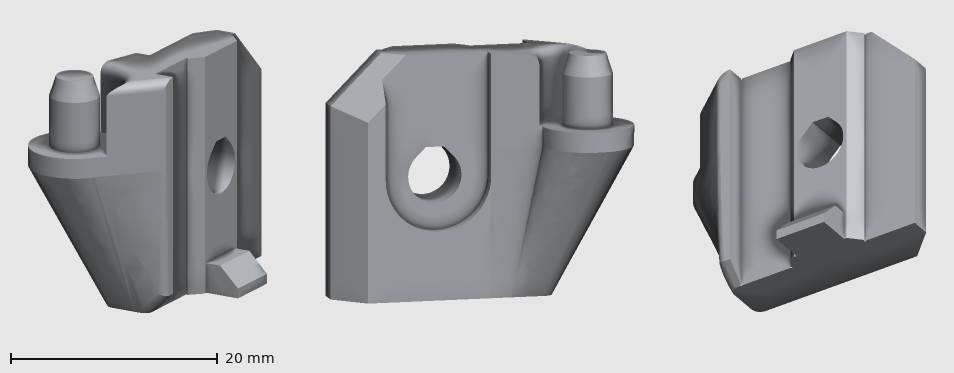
import math

import cadquery as cq


height = 24.0
plate_thickness = 5.0
plate_back_x = 6.45
plate_front_x = plate_back_x - plate_thickness
plate_end_y = 24.5
corner_cut = 5.0
end_chamfer = 3.0

hole_y = 14.5
hole_z = 12.0
hole_radius = 2.65
hole_flat_height = 2.85
pocket_radius = 5.25
pocket_depth = 1.5

rail_half_width = 4.25
rail_thickness = 1.4
rail_chamfer = 1.2
tongue_half_width = 2.75
tongue_end_x = 11.4
tongue_height = 3.0
tongue_chamfer = 2.0

pin_radius = 2.45
pin_tip_radius = 1.8
pin_tip_length = 2.0
seat_radius = 4.5
seat_top_z = 16.95
seat_thickness = 2.0
seat_bottom_z = seat_top_z - seat_thickness
recess_radius = 4.8
top_round = 1.0

arm_start_y = hole_y - pocket_radius
wing_reach = 2.0
wing_x = plate_back_x + wing_reach
wing_low_y = 3.0
wing_high_y = 4.45
wing_round = 0.9
foot_edge_y = 7.25
foot_radius = 1.0
foot_tangent_x = 4.9
seat_arc_end_x = 3.74

seat_arc_end_angle = -math.acos(seat_arc_end_x / seat_radius)
seat_arc_end_y = seat_radius * math.sin(seat_arc_end_angle)
wing_wall_length = math.hypot(wing_x - seat_arc_end_x, wing_low_y - seat_arc_end_y)
wing_wall_angle = math.atan2(wing_low_y - seat_arc_end_y, wing_x - seat_arc_end_x)

relief_radius = 0.1
half_right_angle_cos = math.sqrt(0.5)
overlap = 1.0
selection_margin = 0.25


def seat_point(angle):
    return (seat_radius * math.cos(angle), seat_radius * math.sin(angle))


def make_plate():
    plate = (
        cq.Workplane("YZ", origin=(plate_front_x, 0, 0))
        .moveTo(arm_start_y, 0)
        .lineTo(plate_end_y, 0)
        .lineTo(plate_end_y, height - corner_cut)
        .lineTo(plate_end_y - corner_cut, height)
        .lineTo(arm_start_y, height)
        .close()
        .extrude(plate_thickness)
    )
    end_y = plate_end_y - corner_cut - selection_margin
    end_edges = cq.selectors.BoxSelector(
        (plate_front_x - overlap, end_y, overlap),
        (plate_front_x + overlap, plate_end_y + overlap, height - overlap),
    )
    return plate.faces("<X").edges(end_edges).chamfer(end_chamfer)


def make_rail():
    rail_x = plate_back_x + rail_thickness
    chamfer_x = rail_x - rail_chamfer
    flat_half_width = rail_half_width - rail_chamfer
    return (
        cq.Workplane("XY")
        .moveTo(plate_back_x, hole_y - rail_half_width)
        .lineTo(chamfer_x, hole_y - rail_half_width)
        .lineTo(rail_x, hole_y - flat_half_width)
        .lineTo(rail_x, hole_y + flat_half_width)
        .lineTo(chamfer_x, hole_y + rail_half_width)
        .lineTo(plate_back_x, hole_y + rail_half_width)
        .close()
        .extrude(height)
    )


def make_tongue():
    return (
        cq.Workplane("XZ", origin=(0, hole_y, 0))
        .moveTo(plate_back_x, 0)
        .lineTo(tongue_end_x, 0)
        .lineTo(tongue_end_x, tongue_height - tongue_chamfer)
        .lineTo(tongue_end_x - tongue_chamfer, tongue_height)
        .lineTo(plate_back_x, tongue_height)
        .close()
        .extrude(tongue_half_width, both=True)
    )


def foot_split_angles():
    """Angles that split the seat arc in the same proportions as the three parts of the foot curve."""
    side = foot_edge_y - wing_low_y - foot_radius
    bend = foot_radius * math.pi / 2
    underside = foot_tangent_x - plate_front_x - foot_radius
    total = side + bend + underside
    start = math.pi / 2
    sweep = seat_arc_end_angle + 2 * math.pi - start
    return [start, start + sweep * side / total, start + sweep * (side + bend) / total, start + sweep]


def close_outline(outline):
    """Finish an arm outline around the wing and back to the plate."""
    return (
        outline
        .lineTo(wing_x, wing_low_y)
        .lineTo(wing_x, wing_high_y)
        .lineTo(plate_back_x, wing_high_y)
        .lineTo(plate_back_x, arm_start_y)
        .close()
    )


def seat_outline():
    """Arm outline at the seat, with as many edges as the foot outline so that they pair up."""
    outline = (
        cq.Workplane("XY", origin=(0, 0, seat_bottom_z))
        .moveTo(plate_back_x, arm_start_y)
        .lineTo(plate_front_x, arm_start_y)
        .lineTo(*seat_point(math.pi / 2))
    )
    angles = foot_split_angles()
    for start, end in zip(angles, angles[1:]):
        outline = outline.threePointArc(seat_point((start + end) / 2), seat_point(end))
    return close_outline(outline)


def foot_outline():
    """Arm outline at the underside, where the support has drawn in towards the plate."""
    bend_offset = foot_radius * (1 - half_right_angle_cos)
    outline = (
        cq.Workplane("XY")
        .moveTo(plate_back_x, arm_start_y)
        .lineTo(plate_front_x, arm_start_y)
        .lineTo(plate_front_x, foot_edge_y)
        .lineTo(plate_front_x, wing_low_y + foot_radius)
        .threePointArc(
            (plate_front_x + bend_offset, wing_low_y + bend_offset),
            (plate_front_x + foot_radius, wing_low_y),
        )
        .lineTo(foot_tangent_x, wing_low_y)
    )
    return close_outline(outline)


def wing_undercut():
    """45 degree wedge below the wing, starting at the back face of the plate."""
    reach = wing_reach + overlap
    return (
        cq.Workplane("XZ", origin=(0, wing_high_y + overlap, 0))
        .moveTo(plate_back_x, 0)
        .lineTo(plate_back_x + reach, reach)
        .lineTo(plate_back_x + reach, -overlap)
        .lineTo(plate_back_x, -overlap)
        .close()
        .extrude(wing_high_y - wing_low_y + 2 * overlap)
    )


def wing_top_round():
    """Tool that rounds the top edge of the slanted wing wall, straight past the wing corner."""
    wall = cq.Plane(
        origin=(seat_arc_end_x, seat_arc_end_y, height),
        xDir=(math.sin(wing_wall_angle), -math.cos(wing_wall_angle), 0),
        normal=(-math.cos(wing_wall_angle), -math.sin(wing_wall_angle), 0),
    )
    bend = top_round * (1 - half_right_angle_cos)
    return (
        cq.Workplane(wall)
        .moveTo(-top_round, 0)
        .threePointArc((-bend, -bend), (0, -top_round))
        .lineTo(overlap, -top_round)
        .lineTo(overlap, overlap)
        .lineTo(-top_round, overlap)
        .close()
        .extrude(-wing_wall_length - 2 * overlap)
    )


def pin_recess():
    """Space above the seat, flared at the top by the rounded rim."""
    bend = top_round * (1 - half_right_angle_cos)
    return (
        cq.Workplane("XZ")
        .moveTo(0, seat_top_z)
        .lineTo(recess_radius, seat_top_z)
        .lineTo(recess_radius, height - top_round)
        .threePointArc((recess_radius + bend, height - bend), (recess_radius + top_round, height))
        .lineTo(0, height)
        .close()
        .revolve(360, (0, 0, 0), (0, 1, 0))
    )


def make_arm():
    support = cq.Workplane(
        cq.Solid.makeLoft([foot_outline().val(), seat_outline().val()], True)
    )
    arm = support.union(seat_outline().extrude(height - seat_bottom_z))
    arm = arm.cut(wing_undercut())
    wing_corner = cq.selectors.BoxSelector(
        (plate_back_x - selection_margin, wing_low_y - selection_margin, selection_margin),
        (wing_x + selection_margin, wing_low_y + selection_margin, height - overlap),
    )
    arm = arm.edges(wing_corner).fillet(wing_round)
    return arm.cut(wing_top_round()).cut(pin_recess())


def make_pin():
    straight_length = height - pin_tip_length - seat_top_z
    straight = cq.Workplane("XY", origin=(0, 0, seat_top_z)).circle(pin_radius).extrude(straight_length)
    tip = cq.Solid.makeCone(
        pin_radius, pin_tip_radius, pin_tip_length, cq.Vector(0, 0, height - pin_tip_length)
    )
    return straight.union(cq.Workplane(tip))


def screw_pocket():
    """Round-bottomed pocket in the front face, open at the top."""
    return (
        cq.Workplane("YZ", origin=(plate_front_x, 0, 0))
        .moveTo(hole_y - pocket_radius, height)
        .lineTo(hole_y - pocket_radius, hole_z)
        .threePointArc((hole_y, hole_z - pocket_radius), (hole_y + pocket_radius, hole_z))
        .lineTo(hole_y + pocket_radius, height)
        .close()
        .extrude(pocket_depth)
    )


def screw_hole():
    """Teardrop hole with 45 degree flanks and a flat roof."""
    flank = hole_radius * half_right_angle_cos
    roof_half_width = 2 * flank - hole_flat_height
    return (
        cq.Workplane("YZ", origin=(plate_front_x, hole_y, hole_z))
        .moveTo(flank, flank)
        .lineTo(roof_half_width, hole_flat_height)
        .lineTo(-roof_half_width, hole_flat_height)
        .lineTo(-flank, flank)
        .threePointArc((0, -hole_radius), (flank, flank))
        .close()
        .extrude(plate_thickness + rail_thickness)
    )


def corner_reliefs():
    """Fine upright grooves where the rail and the wing meet the back face."""
    corner_ys = (wing_high_y, hole_y - rail_half_width, hole_y + rail_half_width)
    return (
        cq.Workplane("XY")
        .pushPoints([(plate_back_x, y) for y in corner_ys])
        .circle(relief_radius)
        .extrude(height)
    )


result = (
    make_plate()
    .union(make_rail())
    .union(make_tongue())
    .union(make_arm())
    .union(make_pin())
    .cut(screw_pocket())
    .cut(screw_hole())
    .cut(corner_reliefs())
    .solids()
)